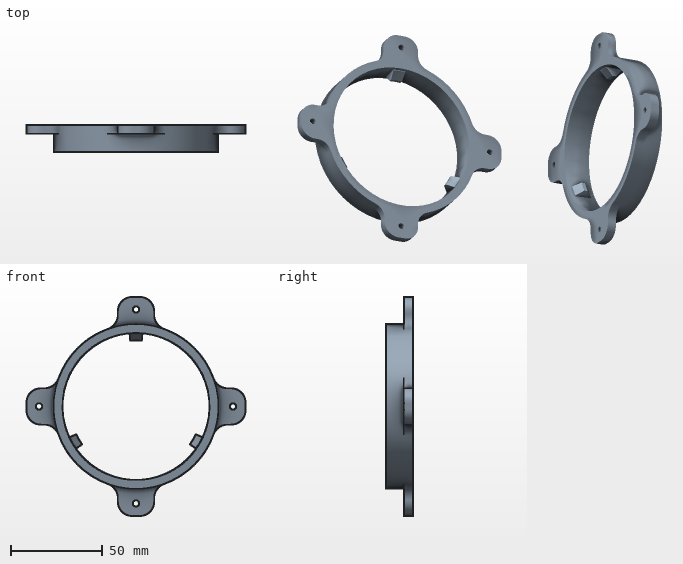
import cadquery as cq
import math

ring_outer_radius = 45.1
bore_front_diameter = 80.3
bore_back_diameter = 81.2
bore_front_radius = bore_front_diameter / 2
ring_depth = 15.0
back_y = ring_depth / 2

ear_count = 4
ear_reach = 60.0
ear_width = 20.0
ear_thickness = 5.0
ear_corner_radius = 8.0
ear_foot_radius = 8.0
ear_hole_diameter = 3.4
ear_hole_distance = 53.0

catch_count = 3
catch_angle = 10.3
catch_inner_radius = 36.0
catch_base_depth = 9.8
catch_crest_depth = 2.2


def make_ring():
    section = [
        (-back_y, bore_front_radius),
        (-back_y, ring_outer_radius),
        (back_y, ring_outer_radius),
        (back_y, bore_back_diameter / 2),
    ]
    return cq.Workplane("YZ").polyline(section).close().revolve(360, (0, 0), (1, 0))


def make_ear():
    """Upper ear, with feet that run tangentially into the outside of the ring."""
    half_width = ear_width / 2
    foot_center_x = half_width + ear_foot_radius
    foot_center_distance = ring_outer_radius + ear_foot_radius
    foot_center_z = math.sqrt(foot_center_distance**2 - foot_center_x**2)
    contact_ratio = ring_outer_radius / foot_center_distance
    contact_x = foot_center_x * contact_ratio
    contact_z = foot_center_z * contact_ratio

    contact_angle = math.atan2(foot_center_z, foot_center_x)
    foot_mid_x = foot_center_x - ear_foot_radius * math.cos(contact_angle / 2)
    foot_mid_z = foot_center_z - ear_foot_radius * math.sin(contact_angle / 2)

    corner_x = half_width - ear_corner_radius
    corner_z = ear_reach - ear_corner_radius
    corner_diagonal = ear_corner_radius * math.sqrt(0.5)
    corner_mid_x = corner_x + corner_diagonal
    corner_mid_z = corner_z + corner_diagonal
    wall_middle_radius = (ring_outer_radius + bore_front_radius) / 2
    root_ratio = wall_middle_radius / ring_outer_radius
    root_x = contact_x * root_ratio
    root_z = contact_z * root_ratio

    ear = (
        cq.Workplane("XZ", origin=(0, back_y, 0))
        .moveTo(contact_x, contact_z)
        .threePointArc((foot_mid_x, foot_mid_z), (half_width, foot_center_z))
        .lineTo(half_width, corner_z)
        .threePointArc((corner_mid_x, corner_mid_z), (corner_x, ear_reach))
        .lineTo(-corner_x, ear_reach)
        .threePointArc((-corner_mid_x, corner_mid_z), (-half_width, corner_z))
        .lineTo(-half_width, foot_center_z)
        .threePointArc((-foot_mid_x, foot_mid_z), (-contact_x, contact_z))
        .lineTo(-root_x, root_z)
        .threePointArc((0, wall_middle_radius), (root_x, root_z))
        .close()
        .extrude(ear_thickness)
    )
    hole = (
        cq.Workplane("XZ", origin=(0, back_y, 0))
        .center(0, ear_hole_distance)
        .circle(ear_hole_diameter / 2)
        .extrude(ear_thickness)
    )
    return ear.cut(hole)


def make_catch():
    """Upper catch: a trapezoid swept around the ring axis, rooted in the ring wall."""
    root_radius = (ring_outer_radius + bore_front_radius) / 2
    half_base = catch_base_depth / 2
    half_crest = catch_crest_depth / 2
    profile = [
        (-half_base, root_radius),
        (-half_base, bore_front_radius),
        (-half_crest, catch_inner_radius),
        (half_crest, catch_inner_radius),
        (half_base, bore_front_radius),
        (half_base, root_radius),
    ]
    catch = cq.Workplane("YZ").polyline(profile).close().revolve(catch_angle, (0, 0), (1, 0))
    return catch.rotate((0, 0, 0), (0, 1, 0), -catch_angle / 2)


def add_around_axis(body, feature, count):
    for index in range(count):
        body = body.union(feature.rotate((0, 0, 0), (0, 1, 0), index * 360 / count))
    return body


result = make_ring()
result = add_around_axis(result, make_ear(), ear_count)
result = add_around_axis(result, make_catch(), catch_count)